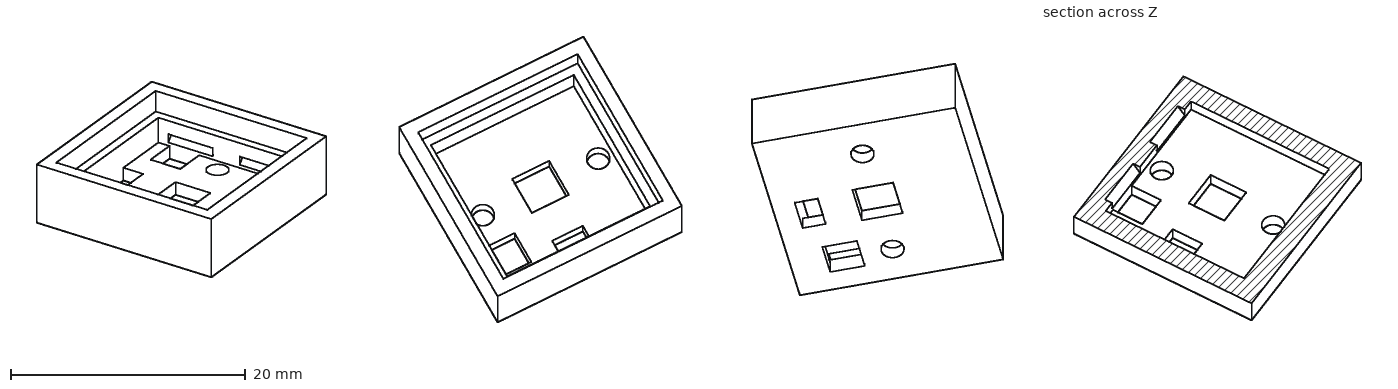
import cadquery as cq

side = 17.8
height = 5.65

recess_width = 15.4
recess_depth = 2.0
cavity_width = 13.8
cavity_half = cavity_width / 2
floor_thickness = 1.25

center_window_width = 3.56
pin_hole_diameter = 1.95
pin_hole_offset = 5.57
corner_window_left = -5.77
corner_window_right = -2.75
corner_window_front = 3.97
side_window_depth = 2.01
side_window_width = 2.95

groove_length = 4.5
groove_center_offset = 3.63
groove_opening = 0.8
groove_depth = 0.7
groove_sill = 0.3


def square_pocket(width, bottom):
    """Centered square pocket from the given height up to the top face."""
    return cq.Workplane("XY", origin=(0, 0, bottom)).rect(width, width).extrude(height - bottom)


def floor_window(x_min, x_max, y_min, y_max):
    """Rectangular opening through the floor."""
    center_x = (x_min + x_max) / 2
    center_y = (y_min + y_max) / 2
    return (
        cq.Workplane("XY")
        .center(center_x, center_y)
        .rect(x_max - x_min, y_max - y_min)
        .extrude(floor_thickness)
    )


def snap_groove(center_x):
    """Groove along X with a sloped floor rising to a flat ceiling inside the +Y wall."""
    bottom = floor_thickness + groove_sill
    top = bottom + groove_opening
    return (
        cq.Workplane("YZ", origin=(center_x - groove_length / 2, 0, 0))
        .moveTo(cavity_half, bottom)
        .lineTo(cavity_half + groove_depth, top)
        .lineTo(cavity_half, top)
        .close()
        .extrude(groove_length)
    )


result = cq.Workplane("XY").rect(side, side).extrude(height)
result = result.cut(square_pocket(recess_width, height - recess_depth))
result = result.cut(square_pocket(cavity_width, floor_thickness))

center_half = center_window_width / 2
result = result.cut(floor_window(-center_half, center_half, -center_half, center_half))

result = result.cut(
    floor_window(corner_window_left, corner_window_right, corner_window_front, cavity_half)
)

side_half = side_window_width / 2
result = result.cut(
    floor_window(-cavity_half, -cavity_half + side_window_depth, -side_half, side_half)
)

pin_holes = (
    cq.Workplane("XY")
    .pushPoints([(0, -pin_hole_offset), (0, pin_hole_offset)])
    .circle(pin_hole_diameter / 2)
    .extrude(floor_thickness)
)
result = result.cut(pin_holes)

for groove_x in (-groove_center_offset, groove_center_offset):
    result = result.cut(snap_groove(groove_x))